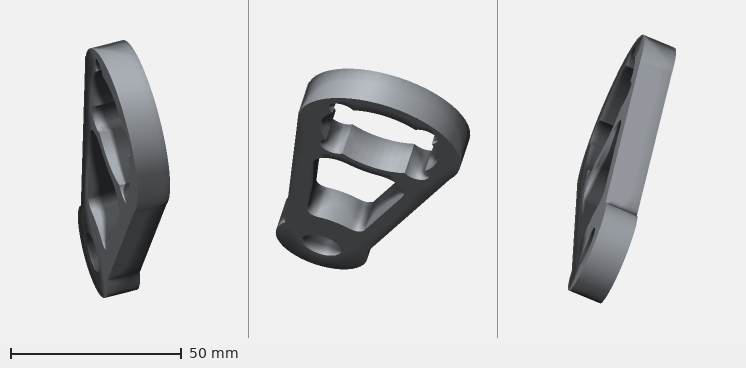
import cadquery as cq
import math

thickness = 10.0
foot_radius = 14.0
head_radius = 25.0
head_x, head_z = 17.5, 77.7

pin_diameter = 12.0
pin_drop = 0.2
counterbore_diameter = 21.0
counterbore_depth = 5.0
bore_radius = 18.0
notch_radius = 4.03
notch_count = 4
notch_angle = 38.9

left_low, left_high = (-11.2, 8.0), (-7.0, 83.4)
right_low, right_high = (13.8, 2.9), (41.1, 70.0)

rim_width = 6.0
window_head_radius = 22.3
window_foot_radius = 17.7
upper_corner_radius = 7.2
lower_corner_radius = 3.0


def extrude(sketch):
    """Extrude an XZ sketch through the plate, centred on Y = 0."""
    return sketch.extrude(thickness / 2, both=True)


def disc(x, z, radius):
    return extrude(cq.Workplane("XZ").center(x, z).circle(radius))


def polygon(points):
    return extrude(cq.Workplane("XZ").polyline(points).close())


def shifted(low, high, distance):
    """Move a side by a distance, to the right of its upward direction."""
    dx, dz = high[0] - low[0], high[1] - low[1]
    length = math.hypot(dx, dz)
    step_x, step_z = distance * dz / length, -distance * dx / length
    return [(x + step_x, z + step_z) for x, z in (low, high)]


def outer_body():
    arm = polygon([left_low, right_low, right_high, (head_x, head_z), left_high])
    trim = polygon([left_low, left_high, shifted(left_low, left_high, -rim_width)[1]])
    head = disc(head_x, head_z, head_radius).cut(trim)
    return head.union(arm).union(disc(0, 0, foot_radius))


def window():
    inner_left = shifted(left_low, left_high, rim_width)
    inner_right = shifted(right_low, right_high, -rim_width)
    opening = polygon([inner_left[0], inner_right[0], inner_right[1], inner_left[1]])
    opening = opening.cut(disc(head_x, head_z, window_head_radius))
    opening = opening.cut(disc(0, 0, window_foot_radius))
    middle = head_z / 2
    reach = head_z + head_radius
    upper = cq.selectors.BoxSelector((-reach, -reach, middle), (reach, reach, reach))
    lower = cq.selectors.BoxSelector((-reach, -reach, 0), (reach, reach, middle))
    opening = opening.edges("|Y").edges(upper).fillet(upper_corner_radius)
    return opening.edges("|Y").edges(lower).fillet(lower_corner_radius)


def notched_bore():
    bore = disc(head_x, head_z, bore_radius)
    for index in range(notch_count):
        angle = math.radians(notch_angle + index * 360 / notch_count)
        x = head_x + bore_radius * math.cos(angle)
        z = head_z + bore_radius * math.sin(angle)
        bore = bore.union(disc(x, z, notch_radius))
    return bore


def pin_hole():
    """Through hole with a counterbore sunk from the +Y face."""
    hole = disc(0, -pin_drop, pin_diameter / 2)
    counterbore = disc(0, -pin_drop, counterbore_diameter / 2)
    return hole.union(counterbore.translate((0, thickness - counterbore_depth, 0)))


result = outer_body().cut(window()).cut(notched_bore()).cut(pin_hole())